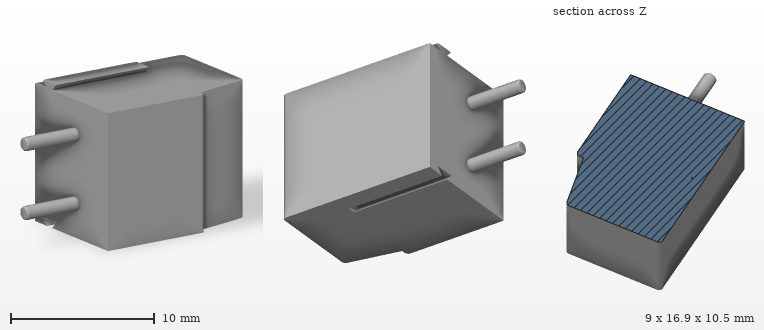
import cadquery as cq

overall_depth = 16.9

body_width = 9.0
body_depth = 12.5
body_height = 10.0
corner_radius = 0.3

back_width = 7.5
shoulder_x = 8.4
shoulder_y = 8.2

dovetail_x = 1.8
dovetail_length = 7.9
neck_width = 0.6
rib_height = 0.49
groove_depth = 0.55

pin_x = 5.0
pin_diameter = 1.0
pin_length = overall_depth - body_depth
pin_tip_radius = 0.15
pin_pitch = body_height / 2
lower_pin_z = (body_height - pin_pitch) / 2


def make_housing():
    """Upright prism with its convex back corners rounded."""
    outline = [
        (0, 0),
        (body_width, 0),
        (body_width, shoulder_y),
        (shoulder_x, shoulder_y),
        (back_width, body_depth),
        (0, body_depth),
    ]
    housing = cq.Workplane("XY").polyline(outline).close().extrude(body_height)
    rounded_corners = [
        (body_width, shoulder_y),
        (back_width, body_depth),
        (0, body_depth),
    ]
    for x, y in rounded_corners:
        corner_edge = cq.NearestToPointSelector((x, y, body_height / 2))
        housing = housing.edges(corner_edge).fillet(corner_radius)
    return housing


def make_dovetail(base_z, height):
    """Dovetail bar widening upward from its neck, running back from the front face."""
    half_neck = neck_width / 2
    half_top = half_neck + height
    outline = [
        (dovetail_x - half_neck, base_z),
        (dovetail_x + half_neck, base_z),
        (dovetail_x + half_top, base_z + height),
        (dovetail_x - half_top, base_z + height),
    ]
    return cq.Workplane("XZ").polyline(outline).close().extrude(-dovetail_length)


def make_pin(z):
    """Round pin pointing toward -Y with a rounded tip."""
    return (
        cq.Workplane("XZ")
        .center(pin_x, z)
        .circle(pin_diameter / 2)
        .extrude(pin_length)
        .faces("<Y")
        .edges()
        .fillet(pin_tip_radius)
    )


result = make_housing()
result = result.cut(make_dovetail(0, groove_depth))
result = result.union(make_dovetail(body_height, rib_height))
for pin_z in (lower_pin_z, lower_pin_z + pin_pitch):
    result = result.union(make_pin(pin_z))